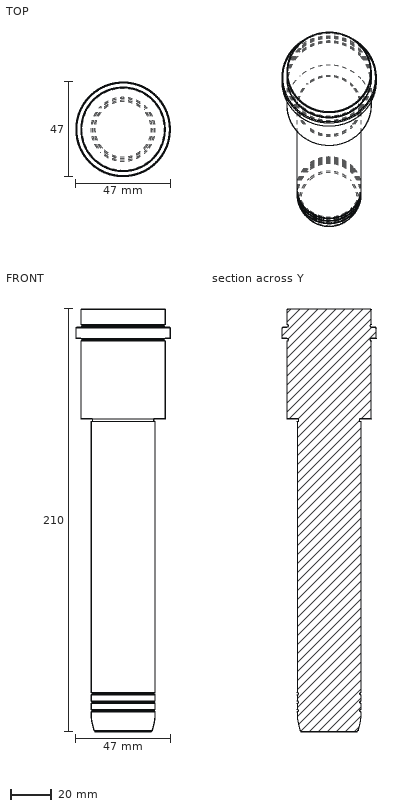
import cadquery as cq

total_length = 210.0
head_length = 54.5

body_radius = 21.0
flange_radius = 23.5
pin_radius = 16.0
tip_radius = 14.5

flange_top_depth = 9.0
flange_height = 5.7
relief_width = 1.3
relief_depth = 0.6
flange_chamfer = 0.52
top_chamfer = 0.5

wall_taper = 0.5

neck_width = 1.3
neck_depth = 0.6

groove_count = 3
groove_pitch = 4.2
first_groove_height = 10.5
groove_width = 1.15
groove_depth = 0.6

lead_in_length = 7.5
lead_in_bulge = 0.2
tip_chamfer = 0.6

body_bottom = total_length - head_length
neck_bottom = body_bottom - neck_width
flange_top = total_length - flange_top_depth
flange_bottom = flange_top - flange_height


def cylinder(radius, bottom, height):
    return cq.Workplane("XY").workplane(offset=bottom).circle(radius).extrude(height)


def tapered_ring(outer_radius, depth, bottom, width):
    """Tapered ring of material to remove from a shaft of the given outer radius."""
    profile = cq.Workplane("XZ").polyline(
        [
            (outer_radius, bottom),
            (outer_radius - depth, bottom + wall_taper),
            (outer_radius - depth, bottom + width - wall_taper),
            (outer_radius, bottom + width),
        ]
    )
    return profile.close().revolve(360, (0, 0, 0), (0, 1, 0))


def make_pin():
    """Pin with a slightly convex lead-in, a chamfered tip and a narrow neck at the top."""
    middle_radius = (pin_radius + tip_radius) / 2 + lead_in_bulge
    middle_height = (lead_in_length + tip_chamfer) / 2
    return (
        cq.Workplane("XZ")
        .lineTo(tip_radius - tip_chamfer, 0)
        .lineTo(tip_radius, tip_chamfer)
        .threePointArc((middle_radius, middle_height), (pin_radius, lead_in_length))
        .lineTo(pin_radius, neck_bottom)
        .lineTo(pin_radius - neck_depth, neck_bottom)
        .lineTo(pin_radius - neck_depth, body_bottom)
        .lineTo(0, body_bottom)
        .close()
        .revolve(360, (0, 0, 0), (0, 1, 0))
    )


def make_head():
    """Body with relief grooves on both sides of its flange."""
    head = cylinder(body_radius, body_bottom, head_length)
    head = head.faces(">Z").edges().chamfer(top_chamfer)
    for groove_bottom in (flange_top, flange_bottom - relief_width):
        head = head.cut(tapered_ring(body_radius, relief_depth, groove_bottom, relief_width))
    flange = cylinder(flange_radius, flange_bottom, flange_height)
    return head.union(flange.faces(">Z").edges().chamfer(flange_chamfer))


pin = make_pin()
for index in range(groove_count):
    groove_bottom = first_groove_height + index * groove_pitch - groove_width / 2
    pin = pin.cut(tapered_ring(pin_radius, groove_depth, groove_bottom, groove_width))

result = pin.union(make_head())